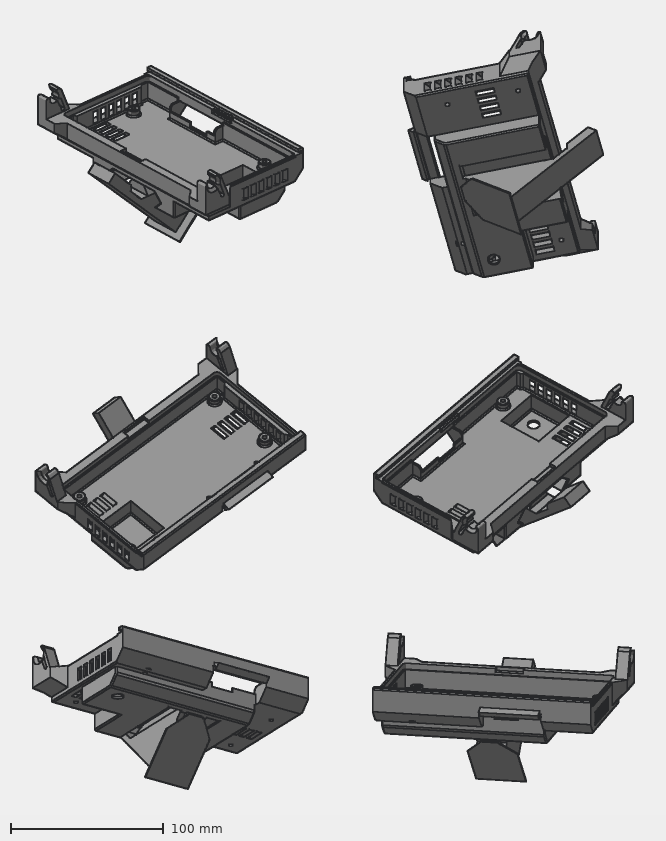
import cadquery as cq
import math


TRAY_WIDTH = 146.2
TRAY_LENGTH = 83.8
TRAY_HEIGHT = 19.5
FLOOR = 2.3
EDGE = 1.0
SKIRT = 3.9
BACK_SLOPE = 8.1
RIM_BEVEL = 0.6
RIM_OVERHANG = 3.7

EAR_SPAN = 162.5
EAR_FRONT = -10.2
EAR_BACK = 10.9
EAR_UNDERSIDE = 12.2
EAR_INNER_FRONT_X = 65.5
EAR_INNER_BACK_X = 59.8
CLIP_TOP = 38.7
POST_TOP = 34.5
SOCKET_Y = -3.1
SOCKET_Z = 33.0
SOCKET_RADIUS = 3.9
SOCKET_FLARE = 2.1

LEDGE_Z = 15.5
RIM_HALF_WIDTH = 70.8
RIM_INNER_FRONT = 2.3
RIM_INNER_BACK = 78.2
RIM_CORNER = 3.0
LEDGE = 1.3
NOTCH_WIDTH = 18.8
NOTCH_FLOOR = 17.0

LOWER_DEPTH = 12.0
BLOCK_LEFT = -39.8
BLOCK_RIGHT = -BLOCK_LEFT
BLOCK_BACK = 71.3
LOWER_SLOPE = 7.0
POCKET_SIZE = 31.5
POCKET_X = 51.8
POCKET_Y = 48.6
POCKET_FLOOR = 1.6
POCKET_WALL = 2.5
POCKET_HOLE = 8.0
POCKET_HOLE_X = 57.2
POCKET_HOLE_Y = 54.1

WINDOW_LEFT = -39.8
WINDOW_RIGHT = 1.8
WINDOW_WALL = 1.3
WINDOW_TOP = 13.0

ARM_WIDTH = 19.8
ARM_TIP_Y = -30.9
ARM_TIP_Z = 13.8
ARM_TIP_SIDE = 5.7
ARM_HEEL_Y = 28.6
ARM_STEP_Y = -11.0
ARM_STEP = 5.0
ARM_TOP = -9.0
ARM_BACK = 58.8
NECK_FRONT = 4.0
NECK_TOP_WIDTH = 8.1
PLATE_BOTTOM = -49.4


def box(x0, x1, y0, y1, z0, z1):
    """Box given by its limits along the three axes."""
    return cq.Workplane("XY").box(x1 - x0, y1 - y0, z1 - z0, centered=False).translate((x0, y0, z0))


def side_prism(points, x0, x1):
    """Closed (Y, Z) outline extruded from x0 to x1."""
    return cq.Workplane("YZ").workplane(offset=x0).polyline(points).close().extrude(x1 - x0)


def front_prism(points, y0, y1):
    """Closed (X, Z) outline extruded from y0 to y1."""
    return cq.Workplane("XZ").workplane(offset=-y1).polyline(points).close().extrude(y1 - y0)


def mirrored(points):
    """Right-hand half outline completed with its mirror image about X = 0."""
    return points + [(-x, y) for x, y in reversed(points)]


def tray_hull():
    """Solid tray with ears: plan outline trimmed by the side and front outlines."""
    half = TRAY_WIDTH / 2
    ear = EAR_SPAN / 2
    plan = mirrored([
        (half, TRAY_LENGTH), (half, EAR_BACK + ear - half), (ear, EAR_BACK), (ear, EAR_FRONT),
        (EAR_INNER_FRONT_X, EAR_FRONT), (EAR_INNER_BACK_X, -RIM_OVERHANG),
    ])
    side = [
        (EDGE, 0), (0, EDGE), (0, SKIRT), (-RIM_OVERHANG, SKIRT + RIM_OVERHANG),
        (EAR_FRONT, EAR_UNDERSIDE), (EAR_FRONT, TRAY_HEIGHT), (TRAY_LENGTH, TRAY_HEIGHT),
        (TRAY_LENGTH, BACK_SLOPE), (TRAY_LENGTH - BACK_SLOPE, 0),
    ]
    front = mirrored([
        (half - EDGE, 0), (half, EDGE), (half, SKIRT), (ear, EAR_UNDERSIDE), (ear, TRAY_HEIGHT),
    ])
    hull = cq.Workplane("XY").polyline(plan).close().extrude(TRAY_HEIGHT)
    hull = hull.intersect(side_prism(side, -ear, ear))
    hull = hull.intersect(front_prism(front, EAR_FRONT, TRAY_LENGTH))

    ears_back = EAR_BACK + ear - half
    rim_sides = cq.selectors.BoxSelector(
        (-half - 1.6, ears_back, TRAY_HEIGHT - 1.6), (half + 1.6, TRAY_LENGTH - 1.6, TRAY_HEIGHT + 1.6))
    return hull.faces(">Z").edges("|Y").edges(rim_sides).chamfer(RIM_BEVEL)


def lid_hook():
    """Lipped hook along the back wall, on a slightly raised land."""
    land_front = 77.0
    land_height = 0.5
    wall = 1.8
    lip_reach = 4.5
    lip = 2.1
    top = 23.9
    half = TRAY_WIDTH / 2
    outline = [
        (TRAY_LENGTH, LEDGE_Z), (TRAY_LENGTH, top - EDGE), (TRAY_LENGTH - EDGE, top),
        (TRAY_LENGTH - lip_reach, top), (TRAY_LENGTH - lip_reach, top - lip),
        (TRAY_LENGTH - wall, top - lip), (TRAY_LENGTH - wall, TRAY_HEIGHT + land_height),
        (RIM_INNER_BACK, TRAY_HEIGHT + land_height), (RIM_INNER_BACK, LEDGE_Z),
    ]
    side_land = box(RIM_HALF_WIDTH, half, land_front, RIM_INNER_BACK + LEDGE,
                    LEDGE_Z, TRAY_HEIGHT + land_height)
    hook = side_prism(outline, -half, half)
    return hook.union(side_land).union(side_land.mirror("YZ"))


def cavity_outline():
    """Plan of the cavity below the ledge: thicker side wall stretches and the window bay step inward."""
    side = RIM_HALF_WIDTH - LEDGE
    front = RIM_INNER_FRONT + LEDGE
    back = RIM_INNER_BACK - LEDGE
    left_step = 1.8
    left_front, left_back = 10.7, 70.8
    right_step = 1.5
    right_front = 72.5
    bay_left = WINDOW_LEFT - WINDOW_WALL
    bay_right = WINDOW_RIGHT + WINDOW_WALL
    bay_front = BLOCK_BACK - WINDOW_WALL
    left_wall = [
        (-side, front), (-side, left_front), (-side + left_step, left_front + left_step),
        (-side + left_step, left_back - left_step), (-side, left_back), (-side, back),
    ]
    window_bay = [(bay_left, back), (bay_left, bay_front), (bay_right, bay_front), (bay_right, back)]
    right_wall = [
        (side - right_step, back), (side - right_step, right_front + right_step),
        (side, right_front), (side, front),
    ]
    return left_wall + window_bay + right_wall


def tray_cavity():
    """Lid recess above the ledge and the deeper space below it, bevelled all round at the floor."""
    recess = box(-RIM_HALF_WIDTH, RIM_HALF_WIDTH, RIM_INNER_FRONT, RIM_INNER_BACK, LEDGE_Z, TRAY_HEIGHT + 1.6)
    recess = recess.edges("|Z").fillet(RIM_CORNER)
    plan = cq.Workplane("XY").workplane(offset=FLOOR).polyline(cavity_outline()).close()
    deep = plan.extrude(LEDGE_Z - FLOOR)
    deep = deep.faces("<Z").edges().chamfer(EDGE)
    over_window = box(WINDOW_LEFT - WINDOW_WALL, WINDOW_RIGHT + WINDOW_WALL,
                      BLOCK_BACK - WINDOW_WALL, RIM_INNER_BACK, WINDOW_TOP, LEDGE_Z)
    return recess.union(deep).union(over_window)


def lid_notches():
    """Latch notches in the front rim and in the back wall."""
    front_depth = 4.5
    back_depth = 2.0
    half = NOTCH_WIDTH / 2
    front = box(-half, half, RIM_INNER_FRONT - front_depth, RIM_INNER_FRONT, NOTCH_FLOOR, TRAY_HEIGHT)
    back = box(-half, half, RIM_INNER_BACK, RIM_INNER_BACK + back_depth, NOTCH_FLOOR, TRAY_HEIGHT)
    return front.union(back)


def hinge_clip():
    """Right-hand hinge clip: post and springy finger around a flared socket."""
    inner_x = TRAY_WIDTH / 2
    outer_x = EAR_SPAN / 2
    finger_tip = (-0.8, SOCKET_Z + math.sqrt(SOCKET_RADIUS ** 2 - (SOCKET_Y + 0.8) ** 2))
    post_tip = (-6.8, SOCKET_Z)
    outline = (
        cq.Workplane("YZ").workplane(offset=inner_x)
        .moveTo(EAR_BACK - 0.6, TRAY_HEIGHT - 1.6).lineTo(EAR_BACK - 0.6, TRAY_HEIGHT)
        .lineTo(3.4, 36.5).lineTo(2.0, CLIP_TOP - 0.5)
        .threePointArc((0.6, CLIP_TOP), (-0.8, CLIP_TOP - 1.0)).lineTo(*finger_tip)
        .threePointArc((SOCKET_Y + SOCKET_RADIUS, SOCKET_Z), (0.5, 31.4))
        .lineTo(0.8, 30.9).lineTo(3.1, 29.9).lineTo(6.2, 21.6)
        .threePointArc((5.2, 20.5), (3.9, 21.0)).lineTo(0.3, 28.5).lineTo(-0.5, 30.0)
        .threePointArc((SOCKET_Y, SOCKET_Z - SOCKET_RADIUS), post_tip)
        .threePointArc(((post_tip[0] + EAR_FRONT) / 2, POST_TOP), (EAR_FRONT, SOCKET_Z))
        .lineTo(EAR_FRONT, TRAY_HEIGHT - 1.6).close()
    )
    clip = outline.extrude(outer_x - inner_x)
    flare = cq.Solid.makeCone(
        SOCKET_RADIUS, SOCKET_RADIUS + SOCKET_FLARE, SOCKET_FLARE,
        pnt=cq.Vector(outer_x - SOCKET_FLARE, SOCKET_Y, SOCKET_Z), dir=cq.Vector(1, 0, 0),
    )
    return clip.cut(cq.Workplane(obj=flare))


def lower_box(x0, x1, y0, y1):
    """Bevelled box hanging below the floor, sloped under its back edge."""
    outline = [
        (y0, FLOOR), (y0, -LOWER_DEPTH), (y1 - LOWER_SLOPE, -LOWER_DEPTH),
        (y1, LOWER_SLOPE - LOWER_DEPTH), (y1, FLOOR),
    ]
    return side_prism(outline, x0, x1).edges().chamfer(EDGE)


def channel_outline(grow):
    """Six-sided channel section, widened outward by grow and open below."""
    mid_half = 26.0 + grow
    top = grow
    mid = -LOWER_DEPTH / 2
    bottom = -LOWER_DEPTH - grow
    return mirrored([(mid_half - top + mid, top), (mid_half, mid), (mid_half - mid + bottom, bottom)])


def stand_channel():
    """Channel in the block with a bevelled mouth, open to the front and below."""
    channel = front_prism(channel_outline(0), 0, ARM_BACK)
    mouth = (
        cq.Workplane("XZ").polyline(channel_outline(EDGE)).close()
        .workplane(offset=-EDGE).polyline(channel_outline(0)).close().loft(ruled=True)
    )
    return channel.union(mouth)


def switch_box():
    """Box around the square switch pocket."""
    reach = POCKET_SIZE / 2 + POCKET_WALL
    return lower_box(BLOCK_RIGHT - 2 * EDGE, POCKET_X + reach, POCKET_Y - reach, BLOCK_BACK)


def switch_pocket():
    """Square pocket below the floor and the round hole through its bottom."""
    half = POCKET_SIZE / 2
    bottom = POCKET_FLOOR - LOWER_DEPTH
    pocket = box(POCKET_X - half, POCKET_X + half, POCKET_Y - half, POCKET_Y + half, bottom, FLOOR)
    pocket = pocket.faces("<Z").edges().chamfer(EDGE)
    hole = (
        cq.Workplane("XY").workplane(offset=-LOWER_DEPTH)
        .center(POCKET_HOLE_X, POCKET_HOLE_Y).circle(POCKET_HOLE / 2).extrude(LOWER_DEPTH)
    )
    return pocket.union(hole)


def window_screen_trim():
    """Cuts that shape the screen before the window: bevelled top corner and stepped front fence."""
    front = BLOCK_BACK - WINDOW_WALL
    corner = 2.0
    fence_top = 7.6
    gap_left, gap_right, gap_floor = -21.8, -5.5, 4.5
    top_corner = [(front, WINDOW_TOP), (front, WINDOW_TOP - corner), (front + corner, WINDOW_TOP)]
    trim = side_prism(top_corner, WINDOW_LEFT - WINDOW_WALL, WINDOW_RIGHT + WINDOW_WALL)
    trim = trim.union(box(WINDOW_LEFT, WINDOW_RIGHT, front, BLOCK_BACK, fence_top, WINDOW_TOP))
    return trim.union(box(gap_left, gap_right, front, BLOCK_BACK, gap_floor, WINDOW_TOP))


def window_opening():
    """Opening through the back wall and the floor behind the lower block."""
    return box(WINDOW_LEFT, WINDOW_RIGHT, BLOCK_BACK, TRAY_LENGTH + 1.6, -LOWER_DEPTH, WINDOW_TOP)


def window_hood():
    """Wedge-shaped hood above the window."""
    inset = 0.8
    outline = [
        (TRAY_LENGTH - 1.6, 15.5), (TRAY_LENGTH, 15.5), (88.9, 13.3), (85.3, 9.8),
        (84.3, 13.2), (TRAY_LENGTH - 1.6, 13.2),
    ]
    return side_prism(outline, WINDOW_LEFT + inset, WINDOW_RIGHT - inset)


BOSS_PLACES = [(-61.8, 57.0), (-61.8, 9.5), (60.3, 9.5), (48.1, 72.5)]
BOSS_DIAMETER = 8.0
BOSS_RIM = 7.0
BOSS_BORE = 3.0
BOSS_FOOT = 1.0
BOSS_TOP = 6.8


def boss():
    """Boss with a flared foot and a bevelled rim, standing on the floor at X = Y = 0."""
    body = BOSS_DIAMETER / 2
    rim = BOSS_RIM / 2
    outline = [
        (0, FLOOR - EDGE), (body + BOSS_FOOT, FLOOR - EDGE), (body + BOSS_FOOT, FLOOR),
        (body, FLOOR + BOSS_FOOT), (body, BOSS_TOP - (body - rim)), (rim, BOSS_TOP), (0, BOSS_TOP),
    ]
    return cq.Workplane("XZ").polyline(outline).close().revolve(360, (0, 0), (0, 1))


SIDE_VENTS = 6
SIDE_VENT_PITCH = 7.0
SIDE_VENT_WIDTH = 4.0
SIDE_VENT_FIRST_Y = 33.0
SIDE_VENT_BOTTOM = 4.2
SIDE_VENT_TOP = 12.8
FLOOR_VENTS = 4
FLOOR_VENT_PITCH = 6.0
FLOOR_VENT_WIDTH = 3.4
FLOOR_VENT_LENGTH = 12.2
FLOOR_VENT_OUTER_X = 63.7
LEFT_VENT_Y = 24.7
RIGHT_VENT_Y = 15.8


def side_vent(y, outward):
    """Louvre through one side wall, running backwards as it goes outward."""
    outer = TRAY_WIDTH / 2
    depth = 8.1
    lean = 6.5
    half = SIDE_VENT_WIDTH / 2
    outline = [
        (outward * outer, y - half), (outward * outer, y + half),
        (outward * (outer - depth), y + half - lean), (outward * (outer - depth), y - half - lean),
    ]
    return (
        cq.Workplane("XY").workplane(offset=SIDE_VENT_BOTTOM)
        .polyline(outline).close().extrude(SIDE_VENT_TOP - SIDE_VENT_BOTTOM)
    )


def floor_vent(x, front, outward):
    """Slot through the floor, leaning outward at 45 degrees on its way down."""
    half = FLOOR_VENT_WIDTH / 2
    lean = outward * FLOOR
    outline = [(x - half, FLOOR), (x + half, FLOOR), (x + half + lean, 0), (x - half + lean, 0)]
    return front_prism(outline, front, front + FLOOR_VENT_LENGTH)


def stand_arm():
    """Slanted arm with its triangular gusset and the neck that joins it to the block."""
    half = ARM_WIDTH / 2
    top_y = ARM_TIP_Y + ARM_TIP_SIDE
    top_z = ARM_TIP_Z + ARM_TIP_SIDE
    step_z = top_z - (ARM_STEP_Y - top_y)
    heel_z = ARM_TIP_Z - (ARM_HEEL_Y - ARM_TIP_Y)
    outline = [
        (ARM_TIP_Y, ARM_TIP_Z), (top_y, top_z), (ARM_STEP_Y, step_z), (ARM_STEP_Y, step_z - ARM_STEP),
        (ARM_STEP_Y + step_z - ARM_STEP - ARM_TOP, ARM_TOP), (ARM_BACK, ARM_TOP),
        (ARM_BACK, heel_z + ARM_BACK - ARM_HEEL_Y), (ARM_HEEL_Y, heel_z),
    ]
    arm = side_prism(outline, -half, half)
    neck_half = NECK_TOP_WIDTH / 2
    neck = front_prism(mirrored([(half, ARM_TOP), (neck_half, 0), (neck_half, FLOOR)]), NECK_FRONT, ARM_BACK)

    groove_y = 52.6
    groove_z = -16.4
    groove_depth = 4.0
    reach = 8.1
    groove = side_prism(
        [(groove_y, groove_z), (groove_y + reach, groove_z + reach), (groove_y + reach, groove_z - reach)],
        half - groove_depth, half,
    ).intersect(box(0, half, groove_y, groove_y + reach, 2 * groove_z, -LOWER_DEPTH))
    return arm.cut(groove).cut(groove.mirror("YZ")).union(neck)


def stand_plate():
    """Thin 45 degree plate behind the arm, tapered at its upper end."""
    thickness = 1.0
    half = 16.7
    tip_half = 5.7
    taper_z = -23.7
    top_z = -14.3
    heel_z = ARM_TIP_Z - (ARM_HEEL_Y - ARM_TIP_Y)
    skew = thickness / math.sqrt(2)
    offset = ARM_HEEL_Y - heel_z + 2 * skew
    outline = [
        (PLATE_BOTTOM + offset, PLATE_BOTTOM), (top_z + offset, top_z),
        (top_z + offset - skew, top_z + skew), (PLATE_BOTTOM + offset - skew, PLATE_BOTTOM + skew),
    ]
    taper_outline = mirrored([(half, PLATE_BOTTOM), (half, taper_z), (tip_half, top_z), (tip_half, 0)])
    taper = front_prism(taper_outline, 0, BLOCK_BACK)
    return side_prism(outline, -half, half).intersect(taper)


block = lower_box(BLOCK_LEFT, BLOCK_RIGHT, 0, BLOCK_BACK).cut(stand_channel())
clip = hinge_clip()

tray = tray_hull().cut(tray_cavity()).union(lid_hook()).cut(lid_notches())
tray = tray.union(block).union(switch_box()).cut(switch_pocket())
tray = tray.cut(window_screen_trim()).cut(window_opening()).union(window_hood())
tray = tray.union(clip).union(clip.mirror("YZ"))

for boss_x, boss_y in BOSS_PLACES:
    tray = tray.union(boss().translate((boss_x, boss_y, 0)))
    bore = cq.Workplane("XY").center(boss_x, boss_y).circle(BOSS_BORE / 2).extrude(BOSS_TOP)
    tray = tray.cut(bore)

for index in range(SIDE_VENTS):
    vent_y = SIDE_VENT_FIRST_Y + index * SIDE_VENT_PITCH
    tray = tray.cut(side_vent(vent_y, 1)).cut(side_vent(vent_y, -1))

for index in range(FLOOR_VENTS):
    vent_x = FLOOR_VENT_OUTER_X - index * FLOOR_VENT_PITCH
    tray = tray.cut(floor_vent(vent_x, RIGHT_VENT_Y, 1)).cut(floor_vent(-vent_x, LEFT_VENT_Y, -1))

result = tray.union(stand_arm()).union(stand_plate())